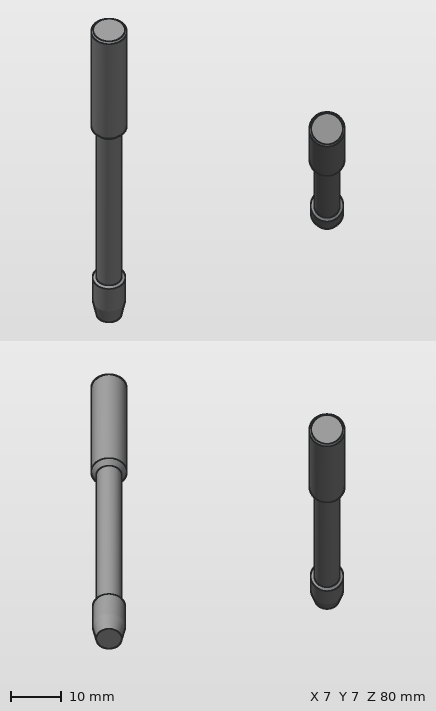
import cadquery as cq

total_length = 80.0

grip_diameter = 7.0
grip_length = 27.0
grip_chamfer = 0.4
neck_diameter = 5.1
shoulder_height = 1.2

tip_length = 10.5
tip_diameter = 6.5
tip_rim_height = 0.3
taper_length = 3.8
taper_end_diameter = 5.0


def revolve_about_z(outline):
    """Turn a closed (radius, height) outline about the Z axis."""
    return cq.Workplane("XZ").polyline(outline).close().revolve(360, (0, 0), (0, 1))


def make_shank():
    """Grip, conical shoulder and neck, standing on the flat top of the tip."""
    grip_radius = grip_diameter / 2
    neck_radius = neck_diameter / 2
    grip_bottom = total_length - grip_length
    return revolve_about_z([
        (0, tip_length),
        (neck_radius, tip_length),
        (neck_radius, grip_bottom - shoulder_height),
        (grip_radius, grip_bottom),
        (grip_radius, total_length - grip_chamfer),
        (grip_radius - grip_chamfer, total_length),
        (0, total_length),
    ])


def make_tip():
    """Collar with a conical upper rim rising to the neck and a tapered lower end."""
    tip_radius = tip_diameter / 2
    return revolve_about_z([
        (0, 0),
        (taper_end_diameter / 2, 0),
        (tip_radius, taper_length),
        (tip_radius, tip_length - tip_rim_height),
        (neck_diameter / 2, tip_length),
        (0, tip_length),
    ])


shank = make_shank()
tip = make_tip()

result = cq.Compound.makeCompound([shank.val(), tip.val()])